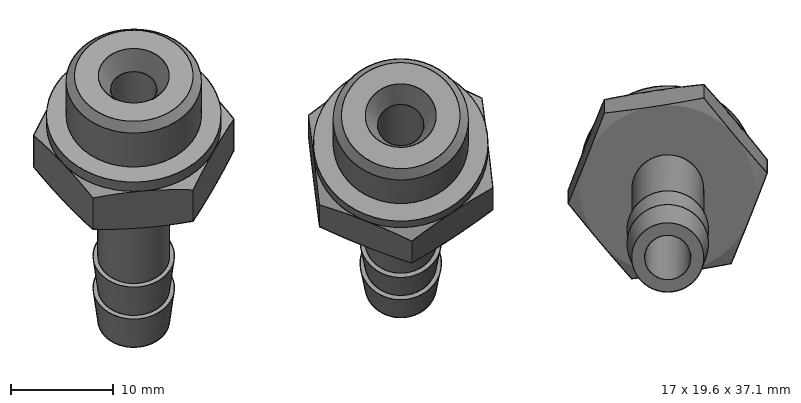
import cadquery as cq
import math

total_length = 37.1
collar_top = 31.13
hex_top = 29.7
hex_bottom = 24.1
barb_length = 4.85
barb_count = 2

spigot_diameter = 13.17
collar_diameter = 17.0
hex_across_flats = 17.0
shank_diameter = 7.0
barb_diameter = 7.95
bore_diameter = 4.5
countersink_diameter = 6.9

spigot_chamfer = 0.8
countersink_depth = 2.08
hex_top_corner_drop = 0.45
hex_bottom_corner_rise = 0.37

hex_across_corners = hex_across_flats / math.cos(math.pi / 6)


def cylinder(diameter, bottom, top):
    return cq.Workplane("XY").workplane(offset=bottom).circle(diameter / 2).extrude(top - bottom)


def cone(bottom_diameter, top_diameter, bottom, top):
    profile = [(0, bottom), (bottom_diameter / 2, bottom), (top_diameter / 2, top), (0, top)]
    return cq.Workplane("XZ").polyline(profile).close().revolve(360, (0, 0), (0, 1))


def hexagon():
    """Hexagon with corners on the Y axis, its corners turned down conically at both ends."""
    blank = (
        cq.Workplane("XY").workplane(offset=hex_bottom)
        .polygon(6, hex_across_corners).extrude(hex_top - hex_bottom)
        .rotate((0, 0, 0), (0, 0, 1), 90)
    )
    flat_radius = hex_across_flats / 2
    corner_radius = hex_across_corners / 2
    turning_profile = [
        (0, hex_bottom),
        (flat_radius, hex_bottom),
        (corner_radius, hex_bottom + hex_bottom_corner_rise),
        (corner_radius, hex_top - hex_top_corner_drop),
        (flat_radius, hex_top),
        (0, hex_top),
    ]
    turned = cq.Workplane("XZ").polyline(turning_profile).close().revolve(360, (0, 0), (0, 1))
    return blank.intersect(turned)


body = cylinder(shank_diameter, barb_count * barb_length, hex_bottom)
for index in range(barb_count):
    barb_bottom = index * barb_length
    body = body.union(cone(shank_diameter, barb_diameter, barb_bottom, barb_bottom + barb_length))

body = body.union(hexagon())
body = body.union(cylinder(collar_diameter, hex_top, collar_top))
spigot = cylinder(spigot_diameter, collar_top, total_length).faces(">Z").chamfer(spigot_chamfer)
body = body.union(spigot)

body = body.cut(cylinder(bore_diameter, 0, total_length))
countersink_bottom = total_length - countersink_depth
result = body.cut(cone(bore_diameter, countersink_diameter, countersink_bottom, total_length))